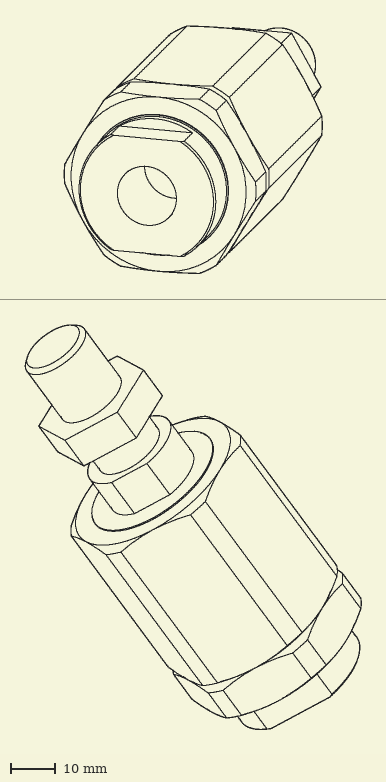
import cadquery as cq
import math

total_length = 104.0
flange_start = 6.9
lock_nut_start = 8.9
body_start = 19.0
body_end = 62.0
collar_end = 72.0
rod_nut_start = 80.0
rod_nut_end = 88.0

hex_flats = 41.0
hex_corner_diameter = 44.9
hex_chamfer_angle = 30.0

ring_height = 0.3
front_ring_diameter = 32.8
rear_ring_diameter = 32.0

plug_diameter = 32.0
plug_flats = 27.0
plug_chamfer = 0.4
hole_diameter = 13.8
hole_depth = 20.8

rod_diameter = 16.0
rod_chamfer = 1.0
collar_diameter = 22.0
collar_flats = 20.0
rod_nut_flats = 24.0


def cylinder(diameter, start, end):
    """Round bar on the Y axis between two stations."""
    plane = cq.Workplane("XZ", origin=(0, start, 0))
    return plane.circle(diameter / 2).extrude(start - end)


def hexagon(flats, start, end):
    """Hexagonal bar with a corner on +X and flats facing up and down."""
    corner_diameter = flats / math.cos(math.radians(30))
    plane = cq.Workplane("XZ", origin=(0, start, 0))
    return plane.polygon(6, corner_diameter).extrude(start - end)


def chamfered_hexagon(start, end):
    """Large hexagon with rounded corners and conical chamfers at both ends."""
    face_radius = hex_flats / 2
    corner_radius = hex_corner_diameter / 2
    depth = (corner_radius - face_radius) * math.tan(math.radians(hex_chamfer_angle))
    envelope = (
        cq.Workplane("XY")
        .moveTo(0, start)
        .lineTo(face_radius, start)
        .lineTo(corner_radius, start + depth)
        .lineTo(corner_radius, end - depth)
        .lineTo(face_radius, end)
        .lineTo(0, end)
        .close()
        .revolve(360, (0, 0, 0), (0, 1, 0))
    )
    return hexagon(hex_flats, start, end).intersect(envelope)


def cut_to_flats(bar, diameter, flats, start, end):
    """Leave only the given height between two flats facing up and down."""
    middle = (start + end) / 2
    removed = cq.Workplane("XY", origin=(0, middle, 0)).box(2 * diameter, end - start, 2 * diameter)
    kept = cq.Workplane("XY", origin=(0, middle, 0)).box(2 * diameter, end - start, flats)
    return bar.cut(removed.cut(kept))


body = chamfered_hexagon(body_start, body_end)
lock_nut = chamfered_hexagon(lock_nut_start, body_start)
front_ring = cylinder(front_ring_diameter, lock_nut_start - ring_height, lock_nut_start)
rear_ring = cylinder(rear_ring_diameter, body_end, body_end + ring_height)
body = body.union(rear_ring)
lock_nut = lock_nut.union(front_ring)

plug = cylinder(plug_diameter, 0, body_start).faces("<Y").chamfer(plug_chamfer)
plug = cut_to_flats(plug, plug_diameter, plug_flats, 0, flange_start)

collar = cylinder(collar_diameter, body_end, collar_end)
collar = cut_to_flats(collar, collar_diameter, collar_flats, body_end, collar_end)
rod = cylinder(rod_diameter, collar_end, total_length).faces(">Y").chamfer(rod_chamfer)
rod_nut = hexagon(rod_nut_flats, rod_nut_start, rod_nut_end)

hole = cylinder(hole_diameter, 0, hole_depth)
result = body.union(lock_nut).union(plug).union(collar).union(rod).union(rod_nut).cut(hole)